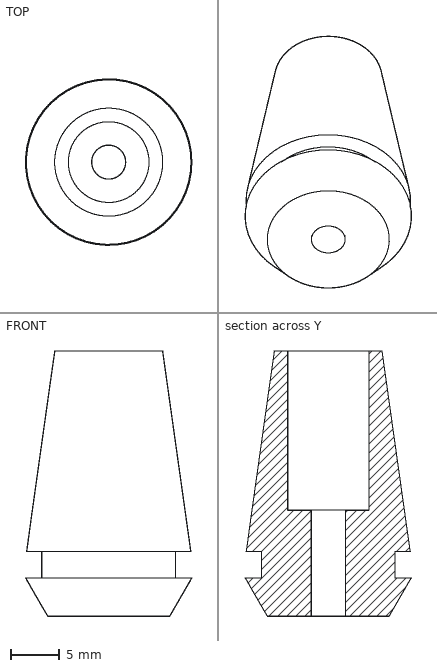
import cadquery as cq
import math

total_height = 27.5
rim_height = 4.0
groove_height = 2.72
cone_base_z = rim_height + groove_height

rim_diameter = 17.25
groove_diameter = 13.9
top_diameter = 11.2
body_taper = 8.0
nose_taper = 30.0

clamp_diameter = 3.5
relief_diameter = 8.35
relief_depth = 16.5

rim_radius = rim_diameter / 2
groove_radius = groove_diameter / 2
top_radius = top_diameter / 2
nose_radius = rim_radius - rim_height * math.tan(math.radians(nose_taper))
cone_height = total_height - cone_base_z
cone_base_radius = top_radius + cone_height * math.tan(math.radians(body_taper))


def collet_body():
    """Revolve the tapered nose, extraction groove and long cone about Z."""
    profile = [
        (0, 0),
        (nose_radius, 0),
        (rim_radius, rim_height),
        (groove_radius, rim_height),
        (groove_radius, cone_base_z),
        (cone_base_radius, cone_base_z),
        (top_radius, total_height),
        (0, total_height),
    ]
    return cq.Workplane("XZ").polyline(profile).close().revolve(360, (0, 0), (0, 1))


def stepped_bore():
    """Through hole with a wider relief bore from the top."""
    clamp_hole = cq.Workplane("XY").circle(clamp_diameter / 2).extrude(total_height)
    relief = (
        cq.Workplane("XY", origin=(0, 0, total_height - relief_depth))
        .circle(relief_diameter / 2)
        .extrude(relief_depth)
    )
    return clamp_hole.union(relief)


result = collet_body().cut(stepped_bore())